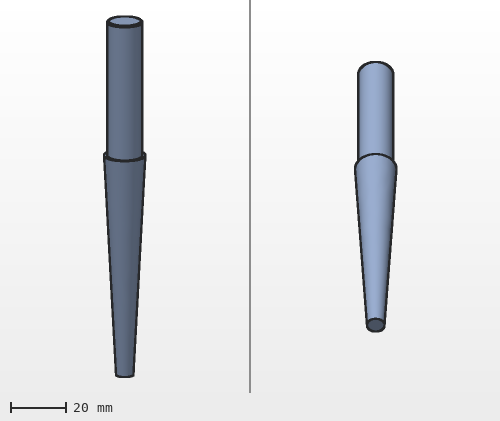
import cadquery as cq

total_height = 133.4
taper_height = 82.7
taper_top_diameter = 15.1
taper_tip_diameter = 6.4

pin_diameter = 12.8
pin_chamfer = 0.5
pin_length = total_height - taper_height


def make_tapered_body():
    """Solid cone, narrow end down, with a flat top."""
    return (
        cq.Workplane("XY")
        .circle(taper_tip_diameter / 2)
        .workplane(offset=taper_height)
        .circle(taper_top_diameter / 2)
        .loft(ruled=True)
    )


def make_pin():
    """Cylindrical pin with a chamfered upper rim."""
    return (
        cq.Workplane("XY")
        .workplane(offset=taper_height)
        .circle(pin_diameter / 2)
        .extrude(pin_length)
        .faces(">Z")
        .chamfer(pin_chamfer)
    )


tapered_body = make_tapered_body()
pin = make_pin()
result = cq.Compound.makeCompound([tapered_body.val(), pin.val()])